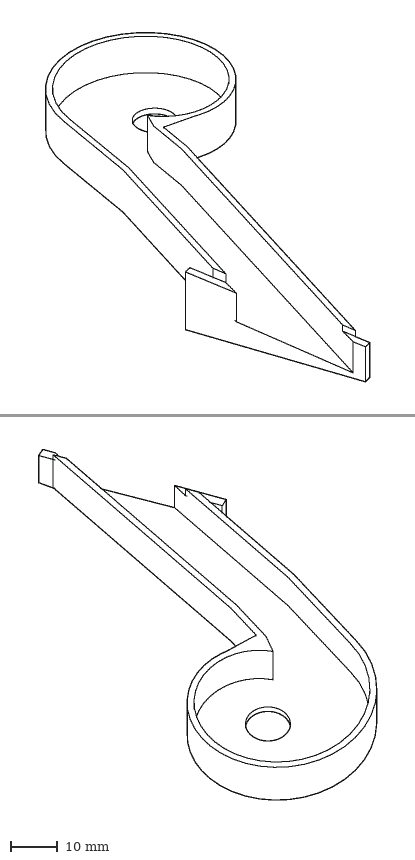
import cadquery as cq
import math

height = 10.7
wall = 1.5
hole_diameter = 9.5

spiral_start_radius = 15.3
spiral_growth = 3.0
facet_angle = 9.0
first_facet = facet_angle / 2
last_facet = 270 + facet_angle / 2
inner_first_facet = first_facet - 5 * facet_angle

arm_back = -7.8
arm_front = -spiral_start_radius - 3 * spiral_growth
bend_x = 24.6
arm_drop = math.tan(math.radians(10))

plate_length = 43.5
plate_thickness = 2.0
plate_angle = 28.5
plate_tip_x = 93.8
plate_front_y = -28.7
plate_bottom = -11.6
plate_top_at_start = 3.0
plate_top_at_end = -2.8

arm_reach = plate_tip_x + plate_thickness


def spiral_points(inset, start_angle):
    """Facet corners of the spiral, moved inward by the inset."""
    count = round((last_facet - start_angle) / facet_angle)
    points = []
    for step in range(count + 1):
        angle = start_angle + step * facet_angle
        radius = spiral_start_radius + spiral_growth * angle / 90 - inset
        turn = math.radians(angle)
        points.append((radius * math.cos(turn), radius * math.sin(turn)))
    points[-1] = (points[-1][0], arm_front + inset)
    return points


def spiral_prism(inset, start_angle, closing_points, bottom):
    points = spiral_points(inset, start_angle) + closing_points
    return cq.Workplane("XY").workplane(offset=bottom).polyline(points).close().extrude(height)


def bent_bar(start_x, front, back, bottom):
    """Bar that is level up to the bend and slopes down beyond it."""
    end_drop = arm_drop * (arm_reach - bend_x)
    profile = [
        (start_x, bottom),
        (bend_x, bottom),
        (arm_reach, bottom - end_drop),
        (arm_reach, bottom + height - end_drop),
        (bend_x, bottom + height),
        (start_x, bottom + height),
    ]
    return cq.Workplane("XZ", origin=(0, back, 0)).polyline(profile).close().extrude(back - front)


slant = math.radians(plate_angle)
plate_origin = (
    plate_tip_x - plate_length * math.cos(slant),
    plate_front_y,
    0,
)
plate_plane = cq.Plane(
    origin=plate_origin,
    xDir=(math.cos(slant), math.sin(slant), 0),
    normal=(math.sin(slant), -math.cos(slant), 0),
)


def make_plate():
    profile = [
        (0, plate_bottom),
        (plate_length, plate_bottom),
        (plate_length, plate_top_at_end),
        (0, plate_top_at_start),
    ]
    return cq.Workplane(plate_plane).polyline(profile).close().extrude(-plate_thickness)


def beyond_plate():
    """Everything past the plate's back face, used to trim the arm."""
    size = 4 * plate_length
    return cq.Workplane(plate_plane).workplane(offset=-plate_thickness).rect(size, size).extrude(size)


arm_start_x = spiral_points(0, first_facet)[-1][0]

cup = spiral_prism(0, first_facet, [(spiral_start_radius, arm_front), (spiral_start_radius, 0)], 0)
arm = bent_bar(arm_start_x, arm_front, arm_back, 0)
body = cup.union(arm).cut(beyond_plate()).union(make_plate())

inner_corner = (spiral_start_radius - wall, arm_back - wall)
cup_hollow = spiral_prism(wall, inner_first_facet, [inner_corner], wall)
hollow_start_x = spiral_points(wall, inner_first_facet)[-1][0]
arm_hollow = bent_bar(hollow_start_x, arm_front + wall, arm_back - wall, wall)
hole = cq.Workplane("XY").circle(hole_diameter / 2).extrude(height)

result = body.cut(cup_hollow).cut(arm_hollow).cut(hole)